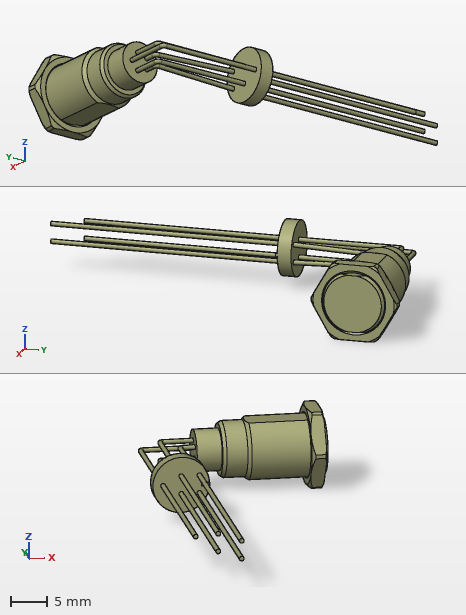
import cadquery as cq
import math


insert_diameter = 5.95
insert_length = 3.5
collar_diameter = 8.0
thread_diameter = 9.0
cone_start = 6.95
shell_end = 18.25
end_chamfer_length = 0.5
end_chamfer_depth = 0.35
flat_width = 8.2
cone_length = (thread_diameter - collar_diameter) / 2

nut_sides = 6
nut_width = 11.0
nut_corner_diameter = 12.4
nut_thickness = 2.0
nut_front = shell_end - end_chamfer_length
nut_rear = nut_front - nut_thickness
nut_rear_face_diameter = nut_width
nut_front_face_diameter = 11.7
nut_chamfer_angle = 30
nut_bore = 8.5
nut_bore_chamfer = 0.4

disc_diameter = 8.0
disc_thickness = 2.0
disc_back = -14.5
disc_front = disc_back - disc_thickness
disc_x = -4.7
key_length = 1.15
key_width = 0.5
key_height = 0.2

wire_diameter = 0.65
wire_radius = wire_diameter / 2
wire_bend_radius = 0.45
pin_circle_radius = 1.4
pin_count = 5
pin_angle = 360 / pin_count
hole_pitch = 2.55
wire_root = 0.3
overall_length = 55.75
long_wire_end = nut_corner_diameter / 2 - overall_length
middle_wire_end = -45.5
short_wire_end = -42.05

wires = [
    (0, -1, 0, short_wire_end),
    (1, 0, 0.5, middle_wire_end),
    (-1, 0, -0.5, middle_wire_end),
    (2, 1, 0.5, long_wire_end),
    (-2, 1, -0.5, long_wire_end),
]


def make_shell():
    """Solid shaft turned about X, with two flats along its thread."""
    profile = (
        cq.Workplane("XY")
        .moveTo(0, 0)
        .lineTo(0, insert_diameter / 2)
        .lineTo(insert_length, insert_diameter / 2)
        .lineTo(insert_length, collar_diameter / 2 - end_chamfer_depth)
        .lineTo(insert_length + end_chamfer_length, collar_diameter / 2)
        .lineTo(cone_start, collar_diameter / 2)
        .lineTo(cone_start + cone_length, thread_diameter / 2)
        .lineTo(shell_end - end_chamfer_length, thread_diameter / 2)
        .lineTo(shell_end, thread_diameter / 2 - end_chamfer_depth)
        .lineTo(shell_end, 0)
        .close()
    )
    shaft = profile.revolve(360, (0, 0, 0), (1, 0, 0))
    between_flats = cq.Workplane("XY").box(2 * shell_end, 2 * thread_diameter, flat_width)
    return shaft.intersect(between_flats)


def make_wire(pin_index, column, row, end_y):
    """Round wire out of the insert, bent towards -Y and led through its disc hole."""
    angle = math.radians(pin_index * pin_angle)
    pin_y = pin_circle_radius * math.cos(angle)
    pin_z = pin_circle_radius * math.sin(angle)
    hole_x = disc_x + column * hole_pitch
    hole_z = row * hole_pitch

    arc_middle = wire_bend_radius * (1 - math.sqrt(0.5))
    bend_path = (
        cq.Workplane("XY", origin=(0, 0, pin_z))
        .moveTo(wire_root, pin_y)
        .lineTo(hole_x + wire_bend_radius, pin_y)
        .threePointArc(
            (hole_x + arc_middle, pin_y - arc_middle),
            (hole_x, pin_y - wire_bend_radius),
        )
    )
    bend = cq.Workplane("YZ", origin=(wire_root, pin_y, pin_z)).circle(wire_radius).sweep(bend_path)

    slant_start = pin_y - wire_bend_radius
    towards_disc = cq.Vector(0, -1, 0)
    slant_ends = [
        cq.Wire.makeCircle(wire_radius, cq.Vector(hole_x, slant_start, pin_z), towards_disc),
        cq.Wire.makeCircle(wire_radius, cq.Vector(hole_x, disc_back, hole_z), towards_disc),
    ]
    slant = cq.Workplane(cq.Solid.makeLoft(slant_ends, True))

    tail = (
        cq.Workplane("XZ", origin=(hole_x, disc_back, hole_z))
        .circle(wire_radius)
        .extrude(disc_back - end_y)
    )
    return bend.union(slant).union(tail)


def make_disc():
    """Spacer disc with a small raised key that runs to its rim on the outer face."""
    disc = (
        cq.Workplane("XZ", origin=(disc_x, disc_back, 0))
        .circle(disc_diameter / 2)
        .extrude(disc_thickness)
    )
    key_centre = disc_diameter / 2 - key_length / 2
    key_blank = (
        cq.Workplane("XZ", origin=(disc_x, disc_front, 0))
        .center(key_centre, 0)
        .rect(key_length, key_width)
        .extrude(key_height)
    )
    rim = (
        cq.Workplane("XZ", origin=(disc_x, disc_front, 0))
        .circle(disc_diameter / 2)
        .extrude(key_height)
    )
    return disc.union(key_blank.intersect(rim))


def make_connector(shell):
    """Shell, wires and spacer disc as one solid."""
    connector = shell.union(make_disc())
    for pin_index, column, row, end_y in wires:
        connector = connector.union(make_wire(pin_index, column, row, end_y))
    return connector


def make_nut(shell):
    """Hexagonal nut with turned corners and a chamfered bore that matches the shell's thread."""
    across_corners = nut_width / math.cos(math.pi / nut_sides)
    hexagon = (
        cq.Workplane("YZ", origin=(nut_rear, 0, 0))
        .polygon(nut_sides, across_corners)
        .extrude(nut_thickness)
    )

    slope = math.tan(math.radians(nut_chamfer_angle))
    rear_chamfer = (nut_corner_diameter - nut_rear_face_diameter) / 2 * slope
    front_chamfer = (nut_corner_diameter - nut_front_face_diameter) / 2 * slope
    bore_radius = nut_bore / 2
    outline = (
        cq.Workplane("XY")
        .moveTo(nut_rear, bore_radius + nut_bore_chamfer)
        .lineTo(nut_rear, nut_rear_face_diameter / 2)
        .lineTo(nut_rear + rear_chamfer, nut_corner_diameter / 2)
        .lineTo(nut_front - front_chamfer, nut_corner_diameter / 2)
        .lineTo(nut_front, nut_front_face_diameter / 2)
        .lineTo(nut_front, bore_radius + nut_bore_chamfer)
        .lineTo(nut_front - nut_bore_chamfer, bore_radius)
        .lineTo(nut_rear + nut_bore_chamfer, bore_radius)
        .close()
    )
    turned_ring = outline.revolve(360, (0, 0, 0), (1, 0, 0))
    return hexagon.intersect(turned_ring).cut(shell)


shell = make_shell()
connector = make_connector(shell)
nut = make_nut(shell)

result = cq.Compound.makeCompound([connector.solids().val(), nut.solids().val()])